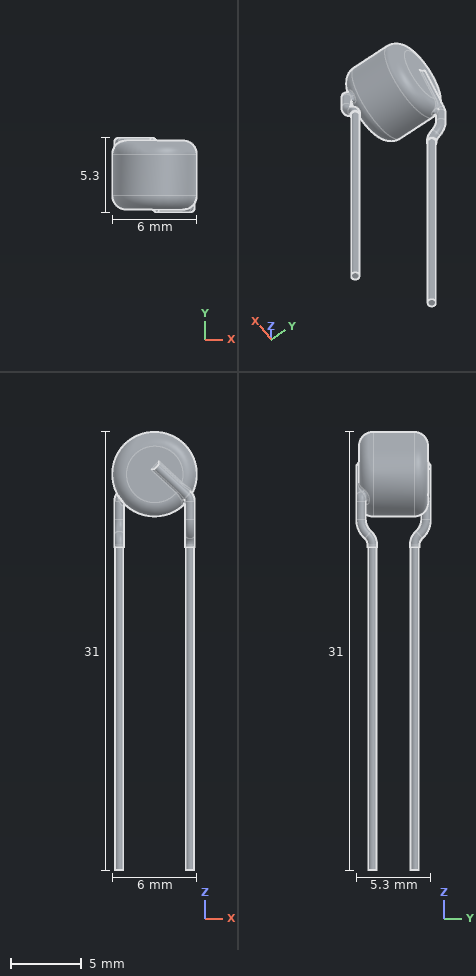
import cadquery as cq
import math

BODY_DIAMETER = 6.0
BODY_LENGTH = 4.9
RIM_RADIUS = 1.0

LEAD_SPACING_X = 5.0
LEAD_SPACING_Y = 3.0
OVERALL_WIDTH_Y = 5.3
OVERALL_HEIGHT = 31.0
COATED_DIAMETER = 0.7
WIRE_DIAMETER = 0.6
JOINT_FILLET = 0.18
CONTACT_TOLERANCE = 0.001

SLOPE_ANGLE = 43
SLOPE_START_X = 0.15
ELBOW_RADIUS = 0.55
ELBOW_END_Z = -1.9

KINK_START_Z = -3.2
KINK_ANGLE = 48.0
UPPER_BEND_RADIUS = 1.45
COATING_END_Z = -5.15

BOTTOM_Z = BODY_DIAMETER / 2 - OVERALL_HEIGHT
LEAD_X = LEAD_SPACING_X / 2
LEAD_Y = -LEAD_SPACING_Y / 2
FACE_Y = -(OVERALL_WIDTH_Y - COATED_DIAMETER) / 2
KINK_DEPTH = LEAD_Y - FACE_Y


def make_body():
    plane = cq.Plane(origin=(0, BODY_LENGTH / 2, 0), xDir=(0, 0, -1), normal=(0, -1, 0))
    body = cq.Workplane(plane).circle(BODY_DIAMETER / 2).extrude(BODY_LENGTH)
    return body.edges("%CIRCLE").fillet(RIM_RADIUS)


def face_edges():
    """Centre line of the sloping wire on the body face and of the elbow that turns it down."""
    slope = math.radians(SLOPE_ANGLE)
    turn = math.pi / 2 - slope

    def elbow_point(angle):
        return cq.Vector(
            LEAD_X - ELBOW_RADIUS + ELBOW_RADIUS * math.cos(angle),
            FACE_Y,
            ELBOW_END_Z + ELBOW_RADIUS * math.sin(angle),
        )

    elbow_start = elbow_point(turn)
    slope_rise = (elbow_start.x - SLOPE_START_X) * math.tan(slope)
    slope_start = cq.Vector(SLOPE_START_X, FACE_Y, elbow_start.z + slope_rise)
    return [
        cq.Edge.makeLine(slope_start, elbow_start),
        cq.Edge.makeThreePointArc(elbow_start, elbow_point(turn / 2), elbow_point(0)),
    ]


def kink_edges():
    """Centre line of the two opposite bends that step the wire inward along Y."""
    angle = math.radians(KINK_ANGLE)
    bend_radii_sum = KINK_DEPTH / (1 - math.cos(angle))
    start = cq.Vector(LEAD_X, FACE_Y, KINK_START_Z)
    middle = start + cq.Vector(0, 1 - math.cos(angle), -math.sin(angle)) * UPPER_BEND_RADIUS
    end = cq.Vector(LEAD_X, LEAD_Y, KINK_START_Z - bend_radii_sum * math.sin(angle))
    middle_direction = cq.Vector(0, math.sin(angle), -math.cos(angle))
    return [
        cq.Edge.makeTangentArc(start, cq.Vector(0, 0, -1), middle),
        cq.Edge.makeTangentArc(middle, middle_direction, end),
    ]


def make_coated_wire():
    face = face_edges()
    kink = kink_edges()
    drop = cq.Edge.makeLine(face[-1].endPoint(), kink[0].startPoint())
    tail = cq.Edge.makeLine(kink[-1].endPoint(), cq.Vector(LEAD_X, LEAD_Y, COATING_END_Z))
    path = cq.Wire.assembleEdges([*face, drop, *kink, tail])
    start_plane = cq.Plane(origin=path.startPoint(), xDir=(0, -1, 0), normal=path.tangentAt(0))
    return cq.Workplane(start_plane).circle(COATED_DIAMETER / 2).sweep(cq.Workplane(obj=path))


def make_bare_wire():
    profile = cq.Workplane("XY", origin=(LEAD_X, LEAD_Y, BOTTOM_Z)).circle(WIRE_DIAMETER / 2)
    return profile.extrude(COATING_END_Z - BOTTOM_Z)


def add_lead(body):
    """Join one lead to the -Y face of the body and fillet the edges where they meet."""
    coated = make_coated_wire()
    joined = body.union(coated)
    wire_surface = coated.val().Shells()[0]
    body_surface = body.val().Shells()[0]

    def lies_on_both(edge):
        middle = cq.Vertex.makeVertex(*edge.positionAt(0.5).toTuple())
        return max(middle.distance(wire_surface), middle.distance(body_surface)) < CONTACT_TOLERANCE

    joint_edges = [edge for edge in joined.edges().vals() if lies_on_both(edge)]
    return joined.newObject(joint_edges).fillet(JOINT_FILLET).union(make_bare_wire())


result = make_body()
for _ in range(2):
    result = add_lead(result).rotate((0, 0, 0), (0, 0, 1), 180)